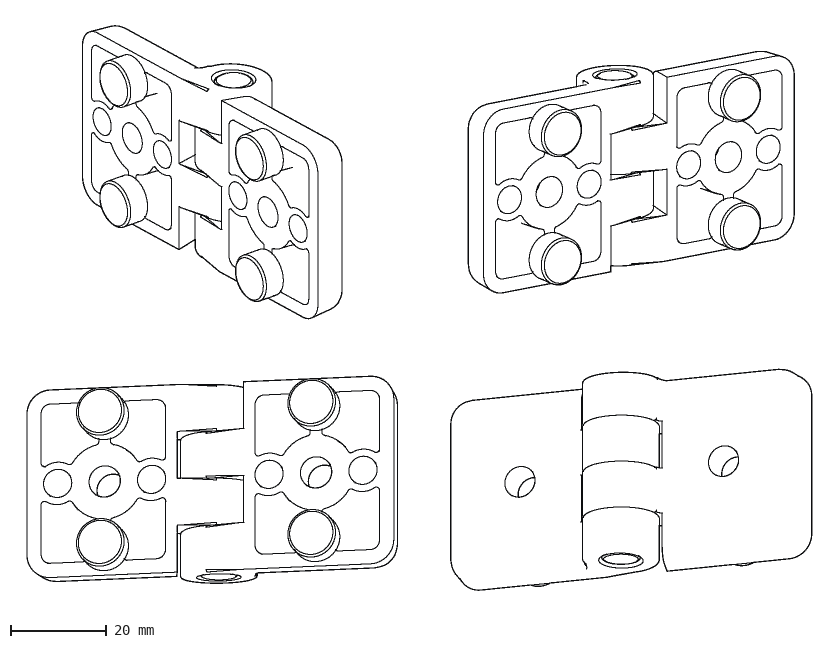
import cadquery as cq
import math


total_length = 78.0
total_height = 40.0
plate_thickness = 8.5
plate_corner_radius = 5.0
plate_back_radius = 3.4
draft_angle = 3.0

axis_y = 9.0
knuckle_radius = 8.0
knuckle_count = 4
knuckle_pitch = total_height / knuckle_count
knuckle_draft_angle = 0.7
knuckle_rim_radius = 0.5
knuckle_root_radius = 1.0
tongue_start_x = -6.4
socket_edge_x = -7.0
socket_angle = 12.3
pin_diameter = 8.0
pin_length = 38.5
pin_chamfer = 0.4
pin_hole_flare = 0.6

screw_x = -22.5
screw_diameter = 6.6
screw_boss_radius = 8.0
blind_hole_diameter = 6.0
blind_hole_spacing = 10.0
blind_hole_boss_radius = 4.5
blind_hole_floor_radius = 0.6
peg_radius = 5.1
peg_length = 5.0
peg_z = 14.0
peg_chamfer = 0.5
peg_boss_radius = 4.5

pocket_depth = 5.0
pocket_rim = 3.05
pocket_inner_x = -9.5
pocket_corner_radius = 1.95
pocket_small_radius = 0.7
pocket_floor_radius = 0.5
web_width = 2.5

knuckle_draft_slope = math.tan(math.radians(knuckle_draft_angle))
draft_slope = math.tan(math.radians(draft_angle))
blind_hole_places = [(screw_x - blind_hole_spacing, 0), (screw_x + blind_hole_spacing, 0)]
peg_places = [(screw_x, peg_z), (screw_x, -peg_z)]
barrel_back_y = axis_y + knuckle_radius
half_height = total_height / 2
mounting_plane = cq.Plane(origin=(0, 0, 0), xDir=(1, 0, 0), normal=(0, 1, 0))


def drafted_block(depth):
    """Block over both leaves whose four sides lean inwards towards the back."""
    return (
        cq.Workplane(mounting_plane)
        .rect(total_length, total_height)
        .extrude(depth, taper=draft_angle)
    )


def knuckle_slab(number):
    """Wide slab over the given knuckle, counted from the top, that thins towards the back."""
    middle_z = half_height - (number - 0.5) * knuckle_pitch
    return (
        cq.Workplane(mounting_plane)
        .center(0, -middle_z)
        .rect(2 * total_length, knuckle_pitch)
        .extrude(2 * barrel_back_y, taper=knuckle_draft_angle)
    )


def make_plate():
    """Left plate, rounded at its outer corners and along its back edges."""
    blank = drafted_block(plate_thickness)
    blank = blank.edges("not(#Y)").edges("<X or >X").edges("not(|Z)").fillet(plate_corner_radius)
    blank = blank.faces(">Y").edges().fillet(plate_back_radius)
    keep = (
        cq.Workplane("XY")
        .box(total_length, 2 * total_length, 2 * total_length)
        .translate((socket_edge_x - total_length / 2, 0, 0))
    )
    return blank.intersect(keep)


def tangent_point():
    """Point where the sloped front of the tongue runs into the barrel."""
    to_axis = math.atan2(axis_y, -tongue_start_x)
    slope = to_axis - math.asin(knuckle_radius / math.hypot(tongue_start_x, axis_y))
    return knuckle_radius * math.sin(slope), axis_y - knuckle_radius * math.cos(slope)


def rim_fade(z_front, lean, inward):
    """Tetrahedron that lets the rounded rim of a barrel fade out along the tongue.

    The knuckle end is at z_front in the mounting plane and moves by lean per unit of Y;
    inward is the sign of Z that points into the knuckle.
    """
    tangent_x, tangent_y = tangent_point()
    tangent_z = z_front + lean * tangent_y
    inside = knuckle_rim_radius / knuckle_radius
    start = cq.Vector(tongue_start_x, 0, z_front)
    corner = cq.Vector(tangent_x, tangent_y, tangent_z)
    along = corner + cq.Vector(0, 0, inward * knuckle_rim_radius)
    inner_y = tangent_y + inside * (axis_y - tangent_y)
    across = cq.Vector(tangent_x * (1 - inside), inner_y, z_front + lean * inner_y)
    triangles = [
        (start, corner, along),
        (start, corner, across),
        (start, along, across),
        (corner, along, across),
    ]
    faces = [
        cq.Face.makeFromWires(cq.Wire.makePolygon(points, close=True)) for points in triangles
    ]
    return cq.Workplane(cq.Solid.makeSolid(cq.Shell.makeShell(faces)))


def make_knuckle(number):
    """Barrel with rounded rims and the tongue that joins it to the plate."""
    z_high = half_height - (number - 1) * knuckle_pitch
    z_low = z_high - knuckle_pitch
    upper_slope = draft_slope if number == 1 else knuckle_draft_slope
    allowed = drafted_block(2 * barrel_back_y).intersect(knuckle_slab(number))
    barrel = (
        cq.Workplane("XY")
        .workplane(offset=-half_height)
        .center(0, axis_y)
        .circle(knuckle_radius)
        .extrude(total_height)
        .intersect(allowed)
    )
    barrel = barrel.faces("<Z or >Z").edges().fillet(knuckle_rim_radius)
    tongue = (
        cq.Workplane("XY")
        .workplane(offset=-half_height)
        .polyline([
            (-knuckle_radius, axis_y),
            (-knuckle_radius, 0),
            (tongue_start_x, 0),
            tangent_point(),
            (0, axis_y),
        ])
        .close()
        .extrude(total_height)
        .intersect(allowed)
    )
    knuckle = barrel.union(tongue)
    knuckle = knuckle.cut(rim_fade(z_high, -upper_slope, -1))
    return knuckle.cut(rim_fade(z_low, knuckle_draft_slope, 1))


def root_profile(level):
    """Section of the concave fillet between a barrel and the back of the plate."""
    centre_y = plate_thickness + knuckle_root_radius
    reach = knuckle_radius + knuckle_root_radius
    centre_x = -math.sqrt(reach ** 2 - (centre_y - axis_y) ** 2)
    share = knuckle_radius / reach
    touch = (centre_x * share, axis_y + (centre_y - axis_y) * share)
    middle = (
        centre_x + knuckle_root_radius * math.sqrt(0.5),
        centre_y - knuckle_root_radius * math.sqrt(0.5),
    )
    buried_x = centre_x + 2 * knuckle_root_radius
    buried_y = plate_thickness - knuckle_root_radius
    return (
        cq.Workplane("XY")
        .workplane(offset=level)
        .moveTo(centre_x, plate_thickness)
        .threePointArc(middle, touch)
        .lineTo(buried_x, touch[1])
        .lineTo(buried_x, buried_y)
        .lineTo(centre_x, buried_y)
        .close()
    )


def make_root_fillets():
    """Fillets behind both barrels; the upper one also follows the rounded edge of the plate."""
    bend_y = plate_thickness - plate_back_radius
    bend_z = half_height - bend_y * draft_slope - plate_back_radius / math.cos(math.radians(draft_angle))
    straight = root_profile(-half_height).extrude(half_height + bend_z)
    bend = root_profile(bend_z).revolve(90, (0, bend_y, 0), (1, bend_y, 0))
    upper = straight.union(bend).intersect(drafted_block(barrel_back_y)).intersect(knuckle_slab(1))
    return upper.union(straight.intersect(knuckle_slab(3)))


def make_sockets():
    """Slanted cut along the hinge side of the plate that leaves out this leaf's own knuckles."""
    back_y = 2 * plate_thickness
    cutter = (
        cq.Workplane("XY")
        .workplane(offset=-half_height)
        .moveTo(socket_edge_x, 0)
        .lineTo(socket_edge_x - back_y * math.tan(math.radians(socket_angle)), back_y)
        .lineTo(0, back_y)
        .lineTo(0, 0)
        .close()
        .extrude(total_height)
    )
    return cutter.cut(knuckle_slab(1)).cut(knuckle_slab(3))


def make_pockets():
    """Four pockets around the bosses and webs of one leaf, with rounded floors."""
    outer_x = pocket_rim - total_length / 2
    width = pocket_inner_x - outer_x
    height = half_height - pocket_rim
    outline = (
        cq.Sketch()
        .push([((pocket_inner_x + outer_x) / 2, -height / 2)])
        .rect(width, height)
        .reset()
        .push([(screw_x, 0)])
        .circle(screw_boss_radius, mode="s")
        .rect(web_width, 2 * peg_z, mode="s")
        .reset()
        .push(blind_hole_places)
        .circle(blind_hole_boss_radius, mode="s")
        .reset()
        .push([(screw_x, -peg_z)])
        .circle(peg_boss_radius, mode="s")
        .reset()
    )
    pair = cq.Workplane(mounting_plane).placeSketch(outline).extrude(pocket_depth, taper=draft_angle)
    for corner in pair.edges("not(<Y or >Y)").edges("not((<X or >X) and >Z)").vals():
        nearest = cq.NearestToPointSelector(corner.Center().toTuple())
        pair = pair.edges(nearest).fillet(pocket_small_radius)
    for corner_x in (outer_x, pocket_inner_x):
        nearest = cq.NearestToPointSelector((corner_x, pocket_depth / 2, height))
        pair = pair.edges(nearest).fillet(pocket_corner_radius)
    pair = pair.faces(">Y").edges().fillet(pocket_floor_radius)
    return pair.union(pair.mirror("XY"))


def make_pin_hole():
    """Hole through the knuckles, flared where it opens in the leaning outer end face."""
    hole = (
        cq.Workplane("XY")
        .workplane(offset=-half_height)
        .center(0, axis_y)
        .circle(pin_diameter / 2)
        .extrude(total_height)
    )
    lean = math.radians(draft_angle)
    outwards = cq.Vector(0, math.sin(lean), math.cos(lean))
    mouth = cq.Vector(0, axis_y, half_height - draft_slope * axis_y)
    flare = cq.Solid.makeCone(
        pin_diameter / 2,
        pin_diameter / 2 + 2 * pin_hole_flare,
        2 * pin_hole_flare,
        mouth - outwards * pin_hole_flare,
        outwards,
    )
    return hole.union(cq.Workplane(flare))


def make_leaf():
    """Left leaf, with its knuckles in the first and third place from the top."""
    leaf = make_plate().cut(make_sockets())
    leaf = leaf.union(make_knuckle(1)).union(make_knuckle(3)).union(make_root_fillets())
    leaf = leaf.cut(make_pin_hole()).cut(make_pockets())
    screw_hole = (
        cq.Workplane(mounting_plane)
        .center(screw_x, 0)
        .circle(screw_diameter / 2)
        .extrude(plate_thickness)
    )
    blind_holes = (
        cq.Workplane(mounting_plane)
        .pushPoints(blind_hole_places)
        .circle(blind_hole_diameter / 2)
        .extrude(pocket_depth)
        .faces(">Y")
        .edges()
        .fillet(blind_hole_floor_radius)
    )
    return leaf.cut(screw_hole).cut(blind_holes)


def make_pin():
    """Hinge pin with chamfered ends, slightly recessed in the outer knuckles."""
    return (
        cq.Workplane("XY")
        .workplane(offset=-pin_length / 2)
        .center(0, axis_y)
        .circle(pin_diameter / 2)
        .extrude(pin_length)
        .faces("<Z or >Z")
        .chamfer(pin_chamfer)
    )


def make_peg(x, z):
    """Round peg that stands on the mounting face and is chamfered at its tip."""
    return (
        cq.Workplane("XZ")
        .center(x, z)
        .circle(peg_radius)
        .extrude(peg_length)
        .faces("<Y")
        .chamfer(peg_chamfer)
    )


left_leaf = make_leaf()
right_leaf = left_leaf.rotate((0, 0, 0), (0, 1, 0), 180)
pin = make_pin()
pegs = [make_peg(side * x, z) for side in (1, -1) for x, z in peg_places]

result = cq.Compound.makeCompound(
    [left_leaf.val(), right_leaf.val(), pin.val(), *[peg.val() for peg in pegs]]
)